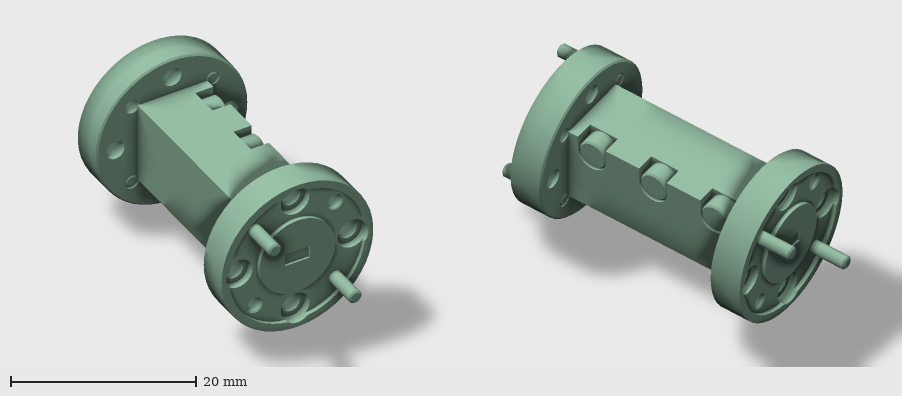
import cadquery as cq
import math

body_length = 30.48
overall_length = 38.23

flange_diameter = 19.05
flange_thickness = 4.0
flange_chamfer = 0.2
groove_outer_diameter = 17.1
groove_inner_diameter = 9.55
groove_depth = 0.5
bolt_circle_diameter = 14.29
bolt_hole_diameter = 2.3
counterbore_diameter = 3.6
counterbore_depth = 1.4

waveguide_width = 3.1
waveguide_height = 1.55
waveguide_depth = 0.25

pin_diameter = 1.6
pin_end_chamfer = 0.2
pin_hole_diameter = 1.7
open_hole_countersink = 0.15

block_width = 8.73
block_height = 10.0

screw_count = 3
screw_spacing = 8.13
screw_head_diameter = 3.65
screw_head_height = 2.1
screw_head_chamfer = 0.2
screw_head_top_gap = 0.15
notch_depth = 2.25

flange_outer_x = body_length / 2
block_length = body_length - 2 * flange_thickness
pin_protrusion = (overall_length - body_length) / 2
pin_length = flange_thickness + pin_protrusion
pin_offset = bolt_circle_diameter / 2 * math.sin(math.radians(45))
block_back_y = block_width / 2
screw_z = block_height / 2 - screw_head_top_gap - screw_head_diameter / 2
screw_x_places = [(i - (screw_count - 1) / 2) * screw_spacing for i in range(screw_count)]

left_pin_places = [(pin_offset, pin_offset), (-pin_offset, -pin_offset)]
left_open_hole_places = [(-pin_offset, pin_offset), (pin_offset, -pin_offset)]


def turn_to_right_end(shape):
    """Swap a shape from the -X end to the +X end by half a turn about Z."""
    return shape.rotate((0, 0, 0), (0, 0, 1), 180)


def plane_at(x):
    """Sketch plane at x, with local axes along Y and Z and its normal along +X."""
    return cq.Workplane("YZ", origin=(x, 0, 0))


def make_flange():
    """Flange at the -X end, without its pins."""
    face_x = -flange_outer_x
    flange = (
        plane_at(face_x)
        .circle(flange_diameter / 2)
        .extrude(flange_thickness)
        .faces(">X")
        .chamfer(flange_chamfer)
    )
    groove = (
        plane_at(face_x)
        .circle(groove_outer_diameter / 2)
        .circle(groove_inner_diameter / 2)
        .extrude(groove_depth)
    )
    bolt_holes = (
        plane_at(face_x)
        .polarArray(bolt_circle_diameter / 2, 0, 360, 4)
        .circle(bolt_hole_diameter / 2)
        .extrude(flange_thickness)
    )
    counterbores = (
        plane_at(face_x)
        .polarArray(bolt_circle_diameter / 2, 0, 360, 4)
        .circle(counterbore_diameter / 2)
        .extrude(counterbore_depth)
    )
    pin_holes = (
        plane_at(face_x)
        .pushPoints(left_pin_places + left_open_hole_places)
        .circle(pin_hole_diameter / 2)
        .extrude(flange_thickness)
    )
    countersinks = (
        plane_at(face_x + groove_depth)
        .pushPoints(left_open_hole_places)
        .circle(pin_hole_diameter / 2 + open_hole_countersink)
        .extrude(open_hole_countersink, taper=45)
    )
    waveguide_mouth = plane_at(face_x).rect(waveguide_width, waveguide_height).extrude(waveguide_depth)
    cuts = (groove, bolt_holes, counterbores, pin_holes, countersinks, waveguide_mouth)
    for cut in cuts:
        flange = flange.cut(cut)
    return flange


def make_screw_notch(x):
    """Round-bottomed notch, open to the block's back and top faces."""
    back_plane = cq.Workplane("XZ", origin=(x, block_back_y, screw_z))
    round_bottom = back_plane.circle(screw_head_diameter / 2).extrude(notch_depth)
    open_top = (
        back_plane.center(0, block_height / 2)
        .rect(screw_head_diameter, block_height)
        .extrude(notch_depth)
    )
    return round_bottom.union(open_top)


def make_screw_head(x):
    """Cap screw head standing on the notch floor."""
    return (
        cq.Workplane("XZ", origin=(x, block_back_y - notch_depth + screw_head_height, screw_z))
        .circle(screw_head_diameter / 2)
        .extrude(screw_head_height)
        .faces(">Y")
        .chamfer(screw_head_chamfer)
    )


def make_block():
    block = cq.Workplane("XY").box(block_length, block_width, block_height)
    for x in screw_x_places:
        block = block.cut(make_screw_notch(x)).union(make_screw_head(x))
    return block


def make_pin(y, z):
    """Dowel pin at the -X end, from its tip to the flange's inner face."""
    return (
        cq.Workplane("YZ", origin=(-overall_length / 2, y, z))
        .circle(pin_diameter / 2)
        .extrude(pin_length)
        .faces("<X or >X")
        .chamfer(pin_end_chamfer)
    )


left_flange = make_flange()
housing = make_block().union(left_flange).union(turn_to_right_end(left_flange))

left_pins = [make_pin(y, z) for y, z in left_pin_places]
right_pins = [turn_to_right_end(pin) for pin in left_pins]

result = cq.Compound.makeCompound([housing.val(), *[pin.val() for pin in left_pins + right_pins]])